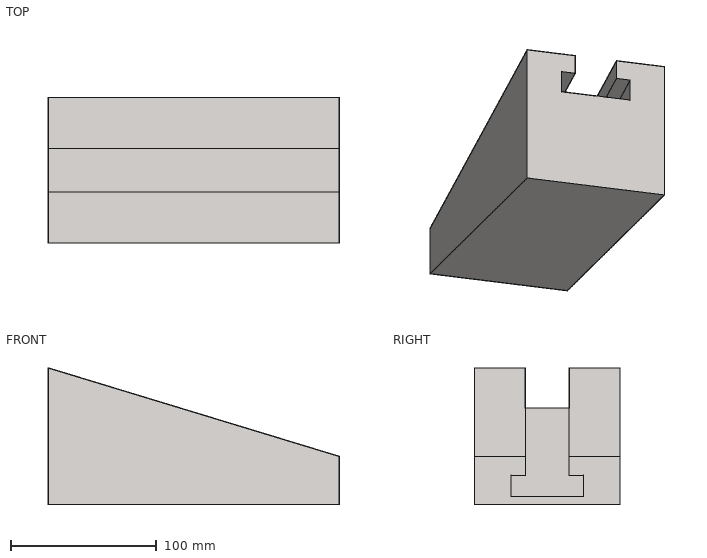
import cadquery as cq

length = 200.0
width = 100.0
tall_end_height = 94.0
short_end_height = 33.2

neck_width = 30.0
undercut_width = 50.0
lip_thickness = 13.0
slot_depth = 27.5


def sloped_prism(prism_width, top_depth, bottom_depth):
    """Band parallel to the slope, between two vertical depths, centred on Y."""
    return (
        cq.Workplane("XZ")
        .moveTo(0, tall_end_height - bottom_depth)
        .lineTo(length, short_end_height - bottom_depth)
        .lineTo(length, short_end_height - top_depth)
        .lineTo(0, tall_end_height - top_depth)
        .close()
        .extrude(prism_width / 2, both=True)
    )


block = (
    cq.Workplane("XZ")
    .polyline([(0, 0), (length, 0), (length, short_end_height), (0, tall_end_height)])
    .close()
    .extrude(width / 2, both=True)
)

neck = sloped_prism(neck_width, 0, slot_depth)
undercut = sloped_prism(undercut_width, lip_thickness, slot_depth)

result = block.cut(neck).cut(undercut)